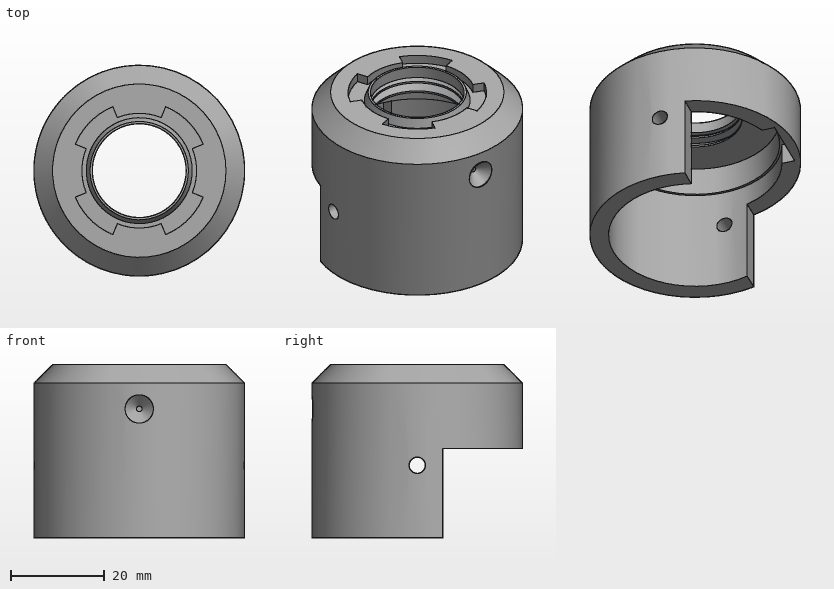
import cadquery as cq
import math

outer_radius = 22.5
height = 37.0
top_chamfer = 4.0

bore_radius = 10.0
undercut_spans = [(2.55, 3.55), (3.95, 5.95)]
bore_length = 6.35

cavity_radius = 18.5
upper_cavity_radius = 18.0
cavity_step_z = 24.0
wall_pocket_width = 12.7
wall_pocket_y = 20.25

recess_depth = 2.0
recess_radius = 12.25
collar_top_radius = 10.5
collar_base_radius = 11.3
pocket_radius = 14.75
pocket_count = 4
pocket_angle = 45.0

step_y = 5.45
step_height = 19.05

cross_hole_radius = 1.7
cross_hole_z = 15.5
dimple_radius = 3.0
dimple_tip_radius = 0.6
dimple_z = 27.5
dimple_mouth_depth = 0.22
dimple_depth = dimple_radius - dimple_tip_radius


def revolve_profile(points):
    """Revolve a closed (radius, z) outline around the Z axis."""
    return cq.Workplane("XZ").polyline(points).close().revolve(360, (0, 0), (0, 1))


def make_body():
    body = cq.Workplane("XY").circle(outer_radius).extrude(height)
    return body.faces(">Z").chamfer(top_chamfer)


def make_bore_and_cavity():
    ceiling = height - bore_length
    outline = [
        (0, 0),
        (cavity_radius, 0),
        (cavity_radius, cavity_step_z),
        (upper_cavity_radius, cavity_step_z),
        (upper_cavity_radius, ceiling),
        (bore_radius, ceiling),
    ]
    for roof_depth, lip_depth in reversed(undercut_spans):
        undercut = lip_depth - roof_depth
        roof_z = height - roof_depth
        outline.append((bore_radius, height - lip_depth))
        outline.append((bore_radius + undercut, roof_z))
        outline.append((bore_radius, roof_z))
    outline += [(bore_radius, height), (0, height)]
    return revolve_profile(outline)


def make_collar_recess():
    floor = height - recess_depth
    return revolve_profile([
        (collar_base_radius, floor),
        (recess_radius, floor),
        (recess_radius, height),
        (collar_top_radius, height),
    ])


def make_pocket(center_angle):
    """Sector pocket reaching from the collar base to the pocket radius."""

    def point(radius, offset):
        angle = math.radians(center_angle + offset)
        return radius * math.cos(angle), radius * math.sin(angle)

    half = pocket_angle / 2
    return (
        cq.Workplane("XY").workplane(offset=height - recess_depth)
        .moveTo(*point(collar_base_radius, -half))
        .lineTo(*point(pocket_radius, -half))
        .threePointArc(point(pocket_radius, 0), point(pocket_radius, half))
        .lineTo(*point(collar_base_radius, half))
        .threePointArc(point(collar_base_radius, 0), point(collar_base_radius, -half))
        .close()
        .extrude(recess_depth)
    )


def make_wall_pocket():
    return cq.Workplane("XY").box(
        wall_pocket_width, wall_pocket_y, cavity_step_z, centered=(True, False, False)
    )


def make_step():
    return (
        cq.Workplane("XY")
        .box(2 * outer_radius, outer_radius, step_height, centered=(True, False, False))
        .translate((0, step_y, 0))
    )


def make_cross_hole():
    return (
        cq.Workplane("YZ").center(0, cross_hole_z).circle(cross_hole_radius)
        .extrude(outer_radius, both=True)
    )


def make_dimple():
    cone = cq.Solid.makeCone(
        dimple_radius,
        dimple_tip_radius,
        dimple_depth,
        pnt=cq.Vector(0, dimple_mouth_depth - outer_radius, dimple_z),
        dir=cq.Vector(0, 1, 0),
    )
    mouth = (
        cq.Workplane("XZ", origin=(0, dimple_mouth_depth - outer_radius, dimple_z))
        .circle(dimple_radius).extrude(dimple_mouth_depth)
    )
    return mouth.union(cq.Workplane(obj=cone))


result = make_body().cut(make_bore_and_cavity()).cut(make_collar_recess())
for index in range(pocket_count):
    result = result.cut(make_pocket((index + 0.5) * 360 / pocket_count))
result = result.cut(make_wall_pocket()).cut(make_step())
result = result.cut(make_cross_hole()).cut(make_dimple())